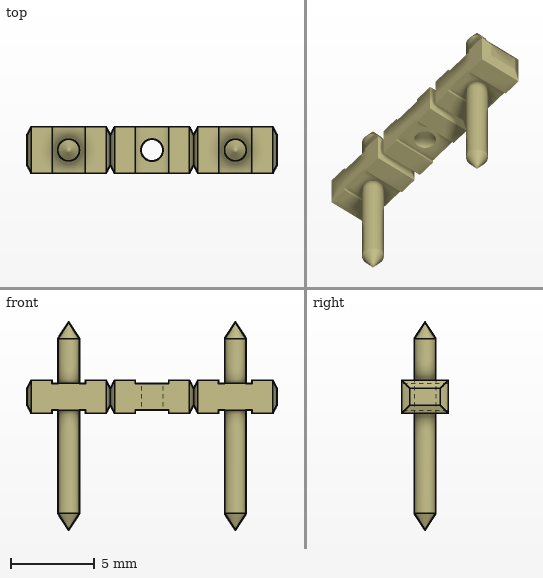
import cadquery as cq

row_length = 15.0
block_count = 3
block_width = 2.8
block_height = 2.0
end_taper_length = 0.25
end_taper_inset = 0.5
groove_width = 2.0
groove_depth = 0.2
pin_diameter = 1.3
pin_length = 12.5
pin_above_block = 3.5
pin_tip_length = 1.0

pitch = row_length / block_count
pin_radius = pin_diameter / 2
pin_top = block_height / 2 + pin_above_block
pin_bottom = pin_top - pin_length
end_pin_x = pitch * (block_count - 1) / 2


def tapered_end(side):
    """Pyramid frustum that narrows toward the block end on the given side (+1 or -1)."""
    start_x = side * (pitch / 2 - end_taper_length)
    return (
        cq.Workplane("YZ", origin=(start_x, 0, 0))
        .rect(block_width, block_height)
        .workplane(offset=side * end_taper_length)
        .rect(block_width - 2 * end_taper_inset, block_height - 2 * end_taper_inset)
        .loft(ruled=True)
    )


def make_block():
    """Block with tapered ends and a cross groove on its top and bottom."""
    block = cq.Workplane("XY").box(pitch - 2 * end_taper_length, block_width, block_height)
    for side in (-1, 1):
        block = block.union(tapered_end(side))
    for side in (-1, 1):
        groove = cq.Workplane("XY").box(groove_width, block_width, 2 * groove_depth)
        block = block.cut(groove.translate((0, 0, side * block_height / 2)))
    return block


def make_pin():
    """Round pin with a pointed cone at both ends, revolved about Z."""
    return (
        cq.Workplane("XZ")
        .moveTo(0, pin_bottom)
        .lineTo(pin_radius, pin_bottom + pin_tip_length)
        .lineTo(pin_radius, pin_top - pin_tip_length)
        .lineTo(0, pin_top)
        .close()
        .revolve(360, (0, 0, 0), (0, 1, 0))
    )


block = make_block()
result = block.translate((-end_pin_x, 0, 0))
for index in range(1, block_count):
    result = result.union(block.translate((index * pitch - end_pin_x, 0, 0)))

pin_hole = cq.Workplane("XY").circle(pin_radius).extrude(block_height / 2, both=True)
result = result.cut(pin_hole)

pin = make_pin()
for side in (-1, 1):
    result = result.union(pin.translate((side * end_pin_x, 0, 0)))